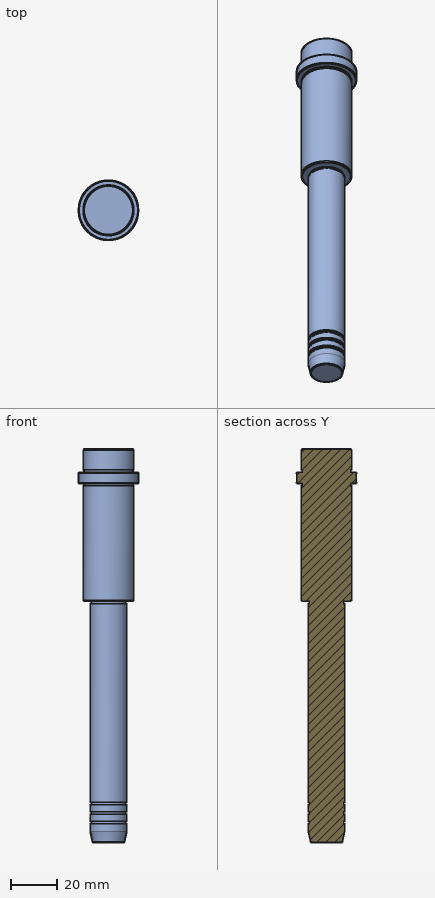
import cadquery as cq

total_length = 170.0
body_diameter = 22.0
collar_diameter = 26.0
stem_diameter = 16.0

collar_top = total_length - 10.0
collar_height = 5.0
collar_bottom = collar_top - collar_height
body_bottom = 104.2
body_chamfer = 0.5
collar_chamfer = 0.3

undercut_depth = 0.3
undercut_width = 1.0
neck_length = 1.0
neck_depth = 0.5

tip_diameter = 14.0
tip_length = 5.0
tip_chamfer = 0.3
groove_count = 3
groove_pitch = 4.0
first_groove_height = 8.7
groove_width = 1.0
groove_depth = 0.5


def cylinder(diameter, bottom, top):
    """Solid cylinder on the Z axis between two heights."""
    return cq.Workplane("XY").workplane(offset=bottom).circle(diameter / 2).extrude(top - bottom)


def cut_groove(part, diameter, bottom, width, depth):
    """Cut a square ring groove into a cylinder of the given diameter."""
    floor_diameter = diameter - 2 * depth
    ring = cylinder(diameter, bottom, bottom + width).cut(cylinder(floor_diameter, bottom, bottom + width))
    return part.cut(ring)


def make_tip():
    """Cone that widens from the chamfered end face to the stem."""
    end_radius = tip_diameter / 2
    outline = (
        cq.Workplane("XZ")
        .moveTo(0, 0)
        .lineTo(end_radius - tip_chamfer, 0)
        .lineTo(end_radius, tip_chamfer)
        .lineTo(stem_diameter / 2, tip_length)
        .lineTo(0, tip_length)
        .close()
    )
    return outline.revolve(360, (0, 0, 0), (0, 1, 0))


body = cylinder(body_diameter, body_bottom, total_length).faces("<Z or >Z").chamfer(body_chamfer)
collar = cylinder(collar_diameter, collar_bottom, collar_top).faces("<Z or >Z").chamfer(collar_chamfer)
stem = cylinder(stem_diameter, tip_length, body_bottom)

for index in range(groove_count):
    groove_center = first_groove_height + index * groove_pitch
    stem = cut_groove(stem, stem_diameter, groove_center - groove_width / 2, groove_width, groove_depth)
stem = cut_groove(stem, stem_diameter, body_bottom - neck_length, neck_length, neck_depth)

for undercut_bottom in (collar_top, collar_bottom - undercut_width):
    body = cut_groove(body, body_diameter, undercut_bottom, undercut_width, undercut_depth)

result = body.union(collar).union(stem).union(make_tip())